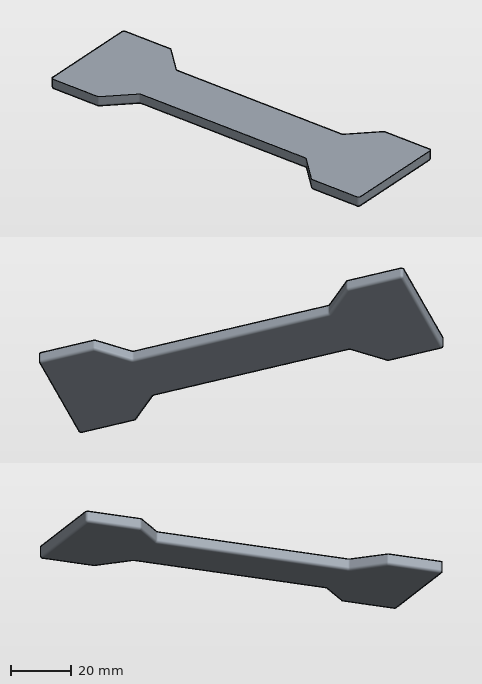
import cadquery as cq

LENGTH = 128.7
HEAD_WIDTH = 39.6
NECK_WIDTH = HEAD_WIDTH / 2
THICKNESS = 4.0
HEAD_LENGTH = HEAD_WIDTH / 2
CORNER_RADIUS = 1.0
BOTTOM_RADIUS = 1.0

SHOULDER = (HEAD_WIDTH - NECK_WIDTH) / 2
END_X = LENGTH / 2
HEAD_X = END_X - HEAD_LENGTH
NECK_X = HEAD_X - SHOULDER
HEAD_Y = HEAD_WIDTH / 2
NECK_Y = NECK_WIDTH / 2


def plate():
    """Flat double-headed plate with sharp edges, centred on X and Y."""
    front_edge = [
        (-END_X, -HEAD_Y),
        (-HEAD_X, -HEAD_Y),
        (-NECK_X, -NECK_Y),
        (NECK_X, -NECK_Y),
        (HEAD_X, -HEAD_Y),
        (END_X, -HEAD_Y),
    ]
    back_edge = [(x, -y) for x, y in reversed(front_edge)]
    return cq.Workplane("XY").polyline(front_edge + back_edge).close().extrude(THICKNESS)


def round_edges(body):
    """Round every upright edge, then the whole rim of the underside."""
    body = body.edges("|Z").fillet(CORNER_RADIUS)
    return body.faces("<Z").edges().fillet(BOTTOM_RADIUS)


result = round_edges(plate())